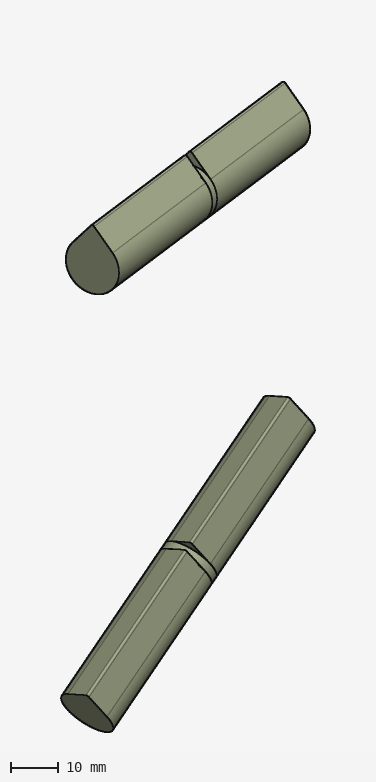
import cadquery as cq
import math


total_length = 80.0
total_height = 16.0
barrel_diameter = 13.0
ridge_radius = 0.5
washer_thickness = 2.0

barrel_radius = barrel_diameter / 2
barrel_length = (total_length - washer_thickness) / 2
ridge_top = total_height - barrel_radius
ridge_center = ridge_top - ridge_radius

flank_angle = math.asin((barrel_radius - ridge_radius) / ridge_center)


def flank_point(radius, center_height):
    """Point on the +X side where the flank touches a circle centred on the Z axis."""
    return (
        radius * math.cos(flank_angle),
        center_height + radius * math.sin(flank_angle),
    )


def make_barrel(start_y):
    """Drop-shaped barrel that runs from start_y toward +Y."""
    low_x, low_z = flank_point(barrel_radius, 0)
    high_x, high_z = flank_point(ridge_radius, ridge_center)
    return (
        cq.Workplane("XZ", origin=(0, start_y, 0))
        .moveTo(low_x, low_z)
        .lineTo(high_x, high_z)
        .threePointArc((0, ridge_top), (-high_x, high_z))
        .lineTo(-low_x, low_z)
        .threePointArc((0, -barrel_radius), (low_x, low_z))
        .close()
        .extrude(-barrel_length)
    )


def make_washer():
    """Round washer centred between the barrels."""
    return (
        cq.Workplane("XZ", origin=(0, -washer_thickness / 2, 0))
        .circle(barrel_radius)
        .extrude(-washer_thickness)
    )


barrel_starts = [-total_length / 2, washer_thickness / 2]
barrels = [make_barrel(start_y).val() for start_y in barrel_starts]
washer = make_washer()

result = cq.Compound.makeCompound([*barrels, washer.val()])